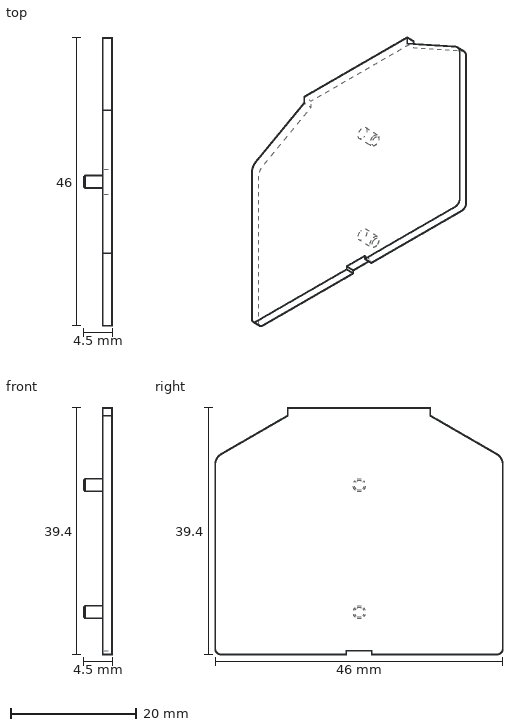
import cadquery as cq
import math

width = 46.0
height = 39.4
thickness = 1.5
bottom_corner_radius = 1.0
shoulder_corner_radius = 2.0

top_edge_width = 22.8
top_step = 1.25
shoulder_angle = 30.0

notch_width = 4.0
notch_depth = 0.6

pin_diameter = 2.02
pin_length = 3.0
pin_chamfer = 0.25
lower_pin_height = 6.8
pin_spacing = 20.3

half_width = width / 2
half_top = top_edge_width / 2
shoulder_top = height - top_step
shoulder_drop = (half_width - half_top) * math.tan(math.radians(shoulder_angle))
shoulder_bottom = shoulder_top - shoulder_drop


def make_plate():
    """Plate with its -X face on X = 0 and its bottom edge on Z = 0."""
    plate = (
        cq.Workplane("YZ")
        .moveTo(-half_width, 0)
        .lineTo(half_width, 0)
        .lineTo(half_width, shoulder_bottom)
        .lineTo(half_top, shoulder_top)
        .lineTo(half_top, height)
        .lineTo(-half_top, height)
        .lineTo(-half_top, shoulder_top)
        .lineTo(-half_width, shoulder_bottom)
        .close()
        .extrude(thickness)
    )
    for side in ("<Y", ">Y"):
        plate = plate.faces(side).edges("|X and <Z").fillet(bottom_corner_radius)
        plate = plate.faces(side).edges("|X and >Z").fillet(shoulder_corner_radius)
    return plate


def make_notch():
    """Cutter through the middle of the bottom edge."""
    return cq.Workplane("XY").box(
        thickness, notch_width, notch_depth, centered=(False, True, False)
    )


def make_pin(pin_height):
    """Round pin pointing to -X with a chamfered tip."""
    return (
        cq.Workplane("YZ")
        .center(0, pin_height)
        .circle(pin_diameter / 2)
        .extrude(-pin_length)
        .faces("<X")
        .chamfer(pin_chamfer)
    )


result = make_plate().cut(make_notch())
for pin_height in (lower_pin_height, lower_pin_height + pin_spacing):
    result = result.union(make_pin(pin_height))